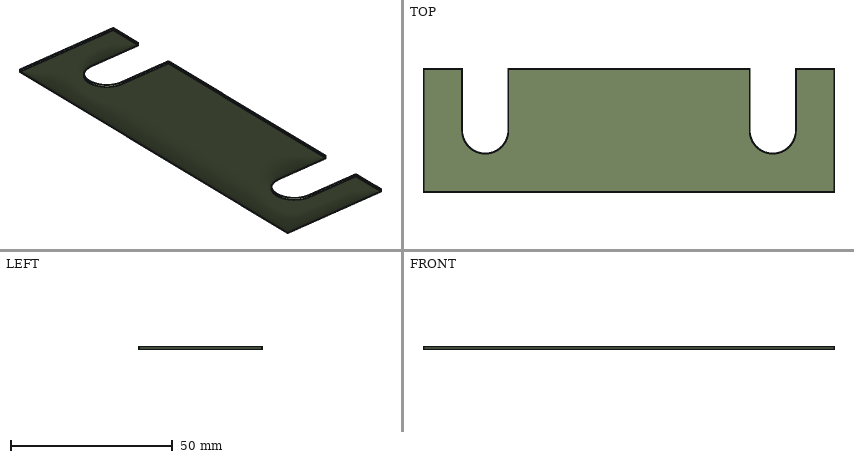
import cadquery as cq

length = 127.0
width = 38.1
thickness = 0.81

slot_spacing = 88.9
slot_width = 14.2
slot_depth = 26.2

slot_radius = slot_width / 2
back_edge = width / 2
slot_center_y = back_edge - slot_depth + slot_radius


def open_slot(center_x):
    """Cutter for one slot, straight-sided from the back edge to a round inner end."""
    return (
        cq.Workplane("XY")
        .moveTo(center_x - slot_radius, back_edge)
        .lineTo(center_x - slot_radius, slot_center_y)
        .threePointArc(
            (center_x, slot_center_y - slot_radius),
            (center_x + slot_radius, slot_center_y),
        )
        .lineTo(center_x + slot_radius, back_edge)
        .close()
        .extrude(thickness)
    )


result = cq.Workplane("XY").box(length, width, thickness, centered=(True, True, False))
for side in (-1, 1):
    result = result.cut(open_slot(side * slot_spacing / 2))